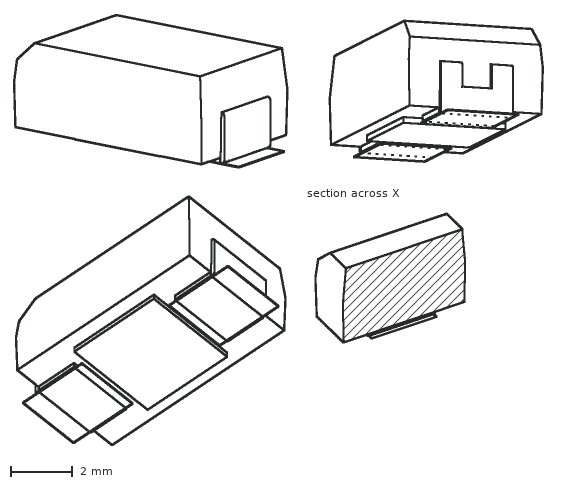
import cadquery as cq

parting_length = 7.61
parting_width = 4.61
bottom_length = 7.56
bottom_width = 4.54
top_length = 7.34
top_width = 4.37
bottom_z = 0.22
parting_z = 1.74
top_z = 3.13

slope_top_x = -3.06
slope_low_z = 2.49

pads_span = 9.0
pad_length = 2.59
pad_width = 2.42
pad_thickness = 0.03

terminals_span = 7.87
terminal_width = 2.47
terminal_bend_radius = 0.135
terminal_embed = 0.18
foot_inner_x = 2.21
foot_width = 2.52
notch_width = 1.01
notch_bottom_z = 0.92

standoff_length = 3.49
standoff_width = 3.51


def drafted_block(low_size, low_z, high_size, high_z):
    """Straight-sided loft between two centred rectangles."""
    return (
        cq.Workplane("XY", origin=(0, 0, low_z))
        .rect(*low_size)
        .workplane(offset=high_z - low_z)
        .rect(*high_size)
        .loft(ruled=True)
    )


def box_between(x_range, width, z_range):
    """Box centred on Y between the given X and Z limits."""
    x_low, x_high = x_range
    z_low, z_high = z_range
    return (
        cq.Workplane("XY", origin=((x_low + x_high) / 2, 0, z_low))
        .rect(x_high - x_low, width)
        .extrude(z_high - z_low)
    )


def make_body():
    parting_size = (parting_length, parting_width)
    lower = drafted_block((bottom_length, bottom_width), bottom_z, parting_size, parting_z)
    upper = drafted_block(parting_size, parting_z, (top_length, top_width), top_z)

    draft_fraction = (slope_low_z - parting_z) / (top_z - parting_z)
    slope_low_x = -(parting_length + (top_length - parting_length) * draft_fraction) / 2
    slope_run = slope_top_x - slope_low_x
    slope_rise = top_z - slope_low_z
    corner = (
        cq.Workplane("XZ")
        .moveTo(slope_low_x - slope_run, slope_low_z - slope_rise)
        .lineTo(slope_top_x + slope_run, top_z + slope_rise)
        .lineTo(slope_low_x - slope_run, top_z + slope_rise)
        .close()
        .extrude(parting_width, both=True)
    )
    return lower.union(upper.cut(corner))


def make_terminal():
    """Plain terminal and pad at the -X end."""
    face_x = -terminals_span / 2
    upright = (
        box_between((face_x, face_x + terminal_embed), terminal_width, (pad_thickness, parting_z))
        .faces("<X")
        .edges("|Y")
        .fillet(terminal_bend_radius)
    )
    foot = box_between((-bottom_length / 2, -foot_inner_x), foot_width,
                       (pad_thickness, bottom_z))
    pad_x = -pads_span / 2
    pad = box_between((pad_x, pad_x + pad_length), pad_width, (0, pad_thickness))
    return upright.union(foot).union(pad)


def make_standoff():
    half_length = standoff_length / 2
    return box_between((-half_length, half_length), standoff_width, (pad_thickness, bottom_z))


def make_notch():
    """Cutting block that opens the top of the upright at the -X end."""
    face_x = -terminals_span / 2
    return box_between((face_x, face_x + terminal_embed), notch_width, (notch_bottom_z, parting_z))


terminal = make_terminal()
notched_terminal = terminal.cut(make_notch())
result = make_body().union(make_standoff()).union(notched_terminal).union(terminal.mirror("YZ"))